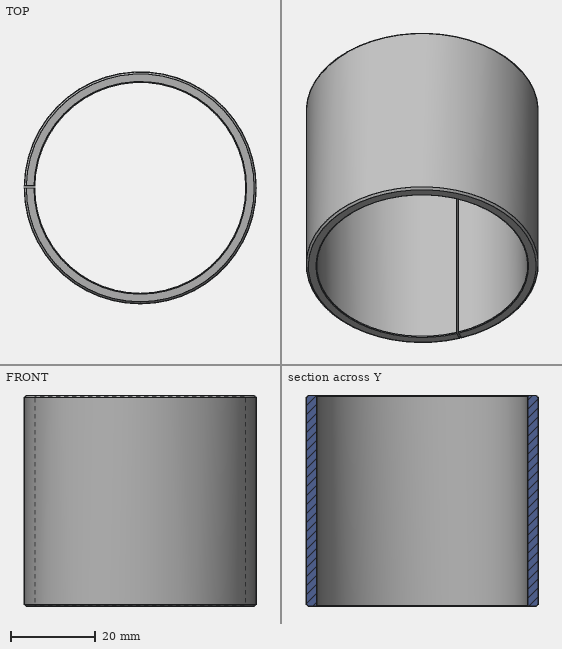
import cadquery as cq
import math

outer_diameter = 55.0
wall_thickness = 2.5
bush_length = 50.0
outer_chamfer = 0.5
inner_chamfer = 0.2
split_angle = 1.0

outer_radius = outer_diameter / 2
inner_radius = outer_radius - wall_thickness


def make_sleeve():
    """Revolve the chamfered wall section about Z."""
    section = [
        (inner_radius + inner_chamfer, 0),
        (outer_radius - outer_chamfer, 0),
        (outer_radius, outer_chamfer),
        (outer_radius, bush_length - outer_chamfer),
        (outer_radius - outer_chamfer, bush_length),
        (inner_radius + inner_chamfer, bush_length),
        (inner_radius, bush_length - inner_chamfer),
        (inner_radius, inner_chamfer),
    ]
    axis_start = (0, 0)
    axis_end = (0, 1)
    return cq.Workplane("XZ").polyline(section).close().revolve(360, axis_start, axis_end)


def make_split():
    """Radial wedge from the axis through the wall: one face on the XZ plane at -X, the other towards +Y."""
    wedge_reach = outer_diameter
    wedge_opening = wedge_reach * math.tan(math.radians(split_angle))
    corners = [(0, 0), (-wedge_reach, 0), (-wedge_reach, wedge_opening)]
    return cq.Workplane("XY").polyline(corners).close().extrude(bush_length)


result = make_sleeve().cut(make_split())